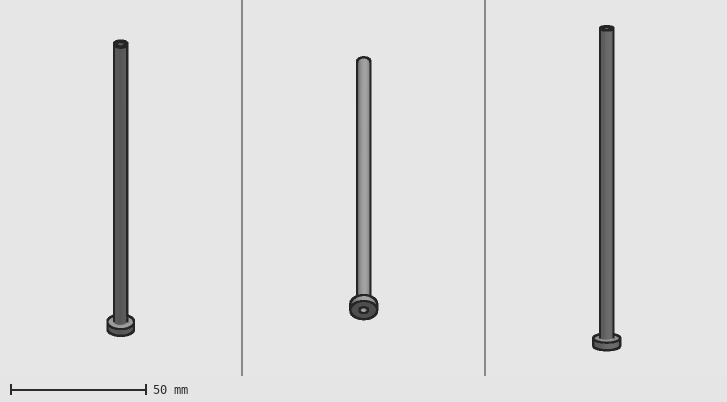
import cadquery as cq

total_length = 125.0
head_diameter = 10.0
head_thickness = 3.0
tube_diameter = 5.0
wall_thickness = 0.9
bore_diameter = tube_diameter - 2 * wall_thickness
root_fillet = 0.3

head = cq.Workplane("XY").circle(head_diameter / 2).extrude(head_thickness)
tube = cq.Workplane("XY").circle(tube_diameter / 2).extrude(total_length)
body = head.union(tube)

head_top = body.faces(cq.selectors.NearestToPointSelector((0, 0, head_thickness)))
body = head_top.edges(cq.selectors.RadiusNthSelector(0)).fillet(root_fillet)

bore = cq.Workplane("XY").circle(bore_diameter / 2).extrude(total_length)
result = body.cut(bore)